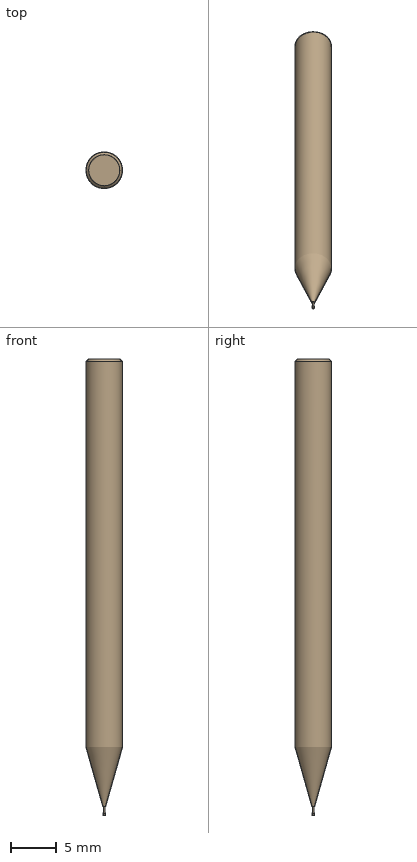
import cadquery as cq

overall_length = 50.0
shank_diameter = 4.0
top_chamfer = 0.3
shank_bottom = 7.5
neck_top = 1.0
neck_bottom = 0.4
taper_end_diameter = 0.3
neck_diameter = 0.2
cutter_length = 0.25
cutter_diameter = 0.25
cutter_corner_radius = 0.05

shank_radius = shank_diameter / 2
taper_end_radius = taper_end_diameter / 2
neck_radius = neck_diameter / 2
cutter_radius = cutter_diameter / 2


def make_shank():
    """Chamfered shank, taper, neck and short flare, revolved as one solid."""
    profile = (
        cq.Workplane("XZ")
        .moveTo(0, cutter_length)
        .lineTo(cutter_radius, cutter_length)
        .lineTo(neck_radius, neck_bottom)
        .lineTo(neck_radius, neck_top)
        .lineTo(taper_end_radius, neck_top)
        .lineTo(shank_radius, shank_bottom)
        .lineTo(shank_radius, overall_length - top_chamfer)
        .lineTo(shank_radius - top_chamfer, overall_length)
        .lineTo(0, overall_length)
        .close()
    )
    return profile.revolve(360, (0, 0, 0), (0, 1, 0))


def make_cutter():
    """Flat-ended cutting tip with a rounded corner, touching the end of the flare."""
    cylinder = cq.Workplane("XY").circle(cutter_radius).extrude(cutter_length)
    return cylinder.faces("<Z").edges().fillet(cutter_corner_radius)


shank = make_shank()
cutter = make_cutter()

result = cq.Compound.makeCompound([shank.val(), cutter.val()])